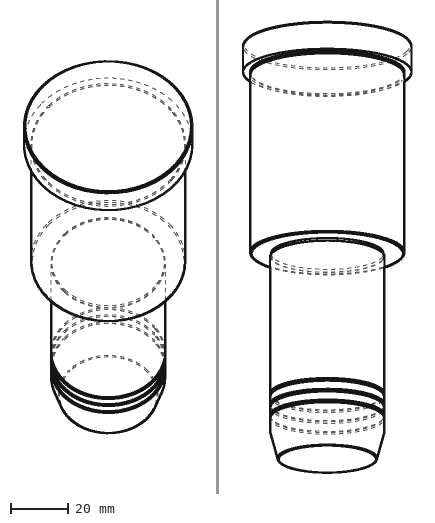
import cadquery as cq
import math

total_height = 151.0
head_height = 10.0
shoulder_level = 74.9
taper_height = 10.0
taper_angle = 15.0

head_radius = 59.0 / 2
body_radius = 54.0 / 2
shank_radius = 40.0 / 2

edge_chamfer = 0.5
tip_chamfer = 0.3
groove_depth = 0.3
undercut_width = 1.0
ring_groove_width = 1.0
ring_groove_pitch = 4.0
lowest_ring_groove = 15.0
ring_groove_count = 3

head_level = total_height - head_height
tip_radius = shank_radius - taper_height * math.tan(math.radians(taper_angle))


def cylinder(radius, bottom, top):
    """Solid cylinder about Z between two levels."""
    return cq.Workplane("XY").workplane(offset=bottom).circle(radius).extrude(top - bottom)


def groove(radius, bottom, width):
    """Triangular ring that cuts a shallow V-groove into a cylinder of the given radius."""
    return (
        cq.Workplane("XZ")
        .moveTo(radius, bottom)
        .lineTo(radius - groove_depth, bottom + width / 2)
        .lineTo(radius, bottom + width)
        .close()
        .revolve(360, (0, 0, 0), (0, 1, 0))
    )


head = cylinder(head_radius, head_level, total_height).faces(">Z").chamfer(edge_chamfer)
body = cylinder(body_radius, shoulder_level, head_level).faces("<Z").chamfer(edge_chamfer)
body = body.cut(groove(body_radius, head_level - undercut_width, undercut_width))

shank = (
    cq.Workplane("XZ")
    .moveTo(0, 0)
    .lineTo(tip_radius, 0)
    .lineTo(shank_radius, taper_height)
    .lineTo(shank_radius, shoulder_level)
    .lineTo(0, shoulder_level)
    .close()
    .revolve(360, (0, 0, 0), (0, 1, 0))
    .faces("<Z")
    .chamfer(tip_chamfer)
)

relief_bottom = shoulder_level - undercut_width
relief = cylinder(shank_radius, relief_bottom, shoulder_level)
relief = relief.cut(cylinder(shank_radius - groove_depth, relief_bottom, shoulder_level))
shank = shank.cut(relief)

for index in range(ring_groove_count):
    level = lowest_ring_groove + index * ring_groove_pitch
    shank = shank.cut(groove(shank_radius, level, ring_groove_width))

result = head.union(body).union(shank)